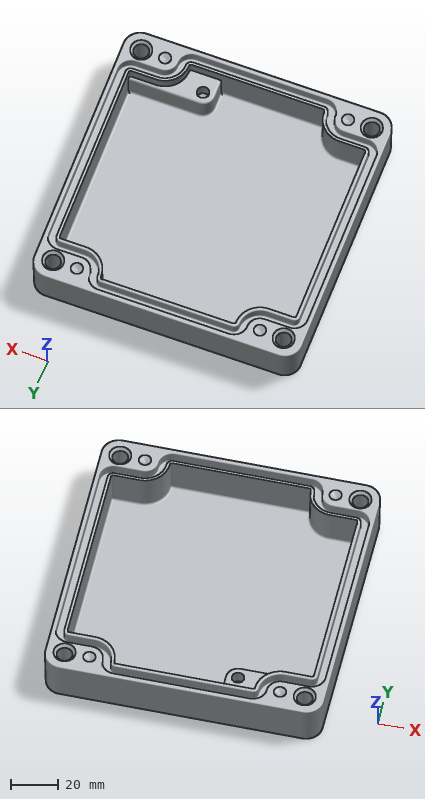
import cadquery as cq
import math

LENGTH_X = 120.4
LENGTH_Y = 122.0
HEIGHT = 20.4
CORNER_RADIUS = 7.6
SIDE_DRAFT = 1.0
BOTTOM_EDGE_FILLET = 1.5
TOP_EDGE_FILLET = 0.5

FIXING_Y = 52.8
BOLT_X = 52.0
BOLT_DIAMETER = 6.7
BOLT_CHAMFER = 1.3
DIMPLE_X = 41.2
DRILL_DIAMETER = 5.2
DRILL_TIP_ANGLE = 118.0

GROOVE_HALF_X = 58.3
STEP_RADIUS = 5.7
BEND_RADIUS = 6.0
GROOVE_WIDTH = 3.5
GROOVE_DEPTH = 4.9
GROOVE_FILLET = 0.5

LIP_WIDTH = 1.5
FLOOR_THICKNESS = 3.7
FLOOR_FILLET = 1.0
CAVITY_DRAFT = 0.7

PAD_HOLE_X = 21.5
PAD_HOLE_Y = -45.7
PAD_HOLE_DEPTH = 6.1
PAD_RADIUS = 5.2
PAD_HEIGHT = 11.5
PAD_TOP_FILLET = 1.0

groove_half_y = FIXING_Y + BEND_RADIUS
lip_inset = GROOVE_WIDTH
cavity_inset = GROOVE_WIDTH + LIP_WIDTH
drill_radius = DRILL_DIAMETER / 2
drill_tip_depth = drill_radius / math.tan(math.radians(DRILL_TIP_ANGLE / 2))
pad_top = FLOOR_THICKNESS + PAD_HEIGHT

trimmed_width = TOP_EDGE_FILLET * (1 / math.tan(math.radians((90 - SIDE_DRAFT) / 2)) - 1)


def point_on(centre, radius, angle):
    """Point of a circle at an angle in degrees from the X axis."""
    turn = math.radians(angle)
    return (centre[0] + radius * math.cos(turn), centre[1] + radius * math.sin(turn))


def stepped_prism(inset, depth, draft=0):
    """Prism from the top face down, over the groove's outer outline moved inward by `inset`."""
    bend = BEND_RADIUS - inset
    step = STEP_RADIUS + inset
    long_side_bend = (DIMPLE_X - STEP_RADIUS - BEND_RADIUS, FIXING_Y)
    step_centre = (DIMPLE_X, FIXING_Y)
    short_side_bend = (GROOVE_HALF_X - BEND_RADIUS, FIXING_Y - STEP_RADIUS - BEND_RADIUS)
    quarter = (
        cq.Workplane("XY", origin=(0, 0, HEIGHT))
        .moveTo(0, groove_half_y - inset)
        .lineTo(*point_on(long_side_bend, bend, 90))
        .threePointArc(point_on(long_side_bend, bend, 45), point_on(long_side_bend, bend, 0))
        .threePointArc(point_on(step_centre, step, 225), point_on(step_centre, step, 270))
        .lineTo(*point_on(short_side_bend, bend, 90))
        .threePointArc(point_on(short_side_bend, bend, 45), point_on(short_side_bend, bend, 0))
        .lineTo(GROOVE_HALF_X - inset, 0)
    )
    return quarter.mirrorX().mirrorY().extrude(-depth, taper=draft)


def outer_block():
    block = (
        cq.Workplane("XY", origin=(0, 0, HEIGHT))
        .sketch()
        .rect(LENGTH_X + 2 * trimmed_width, LENGTH_Y + 2 * trimmed_width)
        .vertices()
        .fillet(CORNER_RADIUS)
        .finalize()
        .extrude(-HEIGHT, taper=SIDE_DRAFT)
    )
    return block.faces("<Z").edges().fillet(BOTTOM_EDGE_FILLET)


def seal_groove():
    ring = stepped_prism(0, GROOVE_DEPTH).cut(stepped_prism(lip_inset, GROOVE_DEPTH))
    return ring.faces("<Z").edges().fillet(GROOVE_FILLET)


def terminal_pad():
    """Pad block that reaches well past the cavity walls on its two outer sides."""
    pad = (
        cq.Workplane("XY", origin=(PAD_HOLE_X - PAD_RADIUS, PAD_HOLE_Y + PAD_RADIUS, FLOOR_THICKNESS))
        .rect(LENGTH_X, -LENGTH_Y, centered=False)
        .extrude(PAD_HEIGHT)
        .edges("|Z and <X and >Y")
        .fillet(PAD_RADIUS)
    )
    return pad.faces(">Z").edges().fillet(PAD_TOP_FILLET)


def cavity():
    """Hollow of the box, with the terminal pad left standing on its floor."""
    hollow = stepped_prism(cavity_inset, HEIGHT - FLOOR_THICKNESS, CAVITY_DRAFT).cut(terminal_pad())
    return hollow.faces("<Z").edges().fillet(FLOOR_FILLET)


def turned(profile):
    """Solid turned about the Z axis from (radius, height) points."""
    return cq.Workplane("XZ").polyline(profile).close().revolve(360, (0, 0), (0, 1))


def bolt_hole():
    radius = BOLT_DIAMETER / 2
    mouth = radius + BOLT_CHAMFER
    return turned([(0, 0), (radius, 0), (radius, HEIGHT - BOLT_CHAMFER), (mouth, HEIGHT), (0, HEIGHT)])


def dimple():
    return turned([(0, HEIGHT - drill_tip_depth), (drill_radius, HEIGHT), (0, HEIGHT)])


def terminal_hole():
    side_end = pad_top - PAD_HOLE_DEPTH
    tip = side_end - drill_tip_depth
    return turned([(0, tip), (drill_radius, side_end), (drill_radius, pad_top), (0, pad_top)])


box = outer_block().cut(seal_groove())
box = box.faces(">Z").edges().fillet(TOP_EDGE_FILLET)
box = box.cut(cavity())

for side_x in (-1, 1):
    for side_y in (-1, 1):
        box = box.cut(bolt_hole().translate((side_x * BOLT_X, side_y * FIXING_Y, 0)))
        box = box.cut(dimple().translate((side_x * DIMPLE_X, side_y * FIXING_Y, 0)))

result = box.cut(terminal_hole().translate((PAD_HOLE_X, PAD_HOLE_Y, 0)))